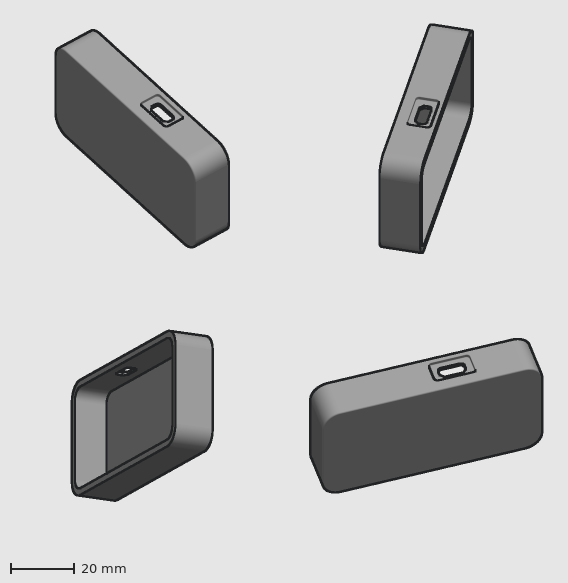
import cadquery as cq

length = 73.0
depth = 13.4
height = 38.0
corner_radius = 6.0
front_edge_radius = 0.5

wall = 2.25

port_x = 8.9
port_from_back = 5.55
recess_length = 13.65
recess_width = 7.5
recess_depth = 1.25
recess_corner_radius = 1.1
recess_edge_round = 0.2
rim_margin = 0.1
slot_length = 8.75
slot_width = 3.95
slot_back_radius = 1.25
slot_front_chamfer = 1.25

front_y = -depth / 2
back_y = depth / 2
top_z = height / 2
port_y = back_y - port_from_back


def make_block(x_size, z_size, radius, start_y):
    """Block with rounded corners running from start_y to the back face."""
    block_depth = back_y - start_y
    return (
        cq.Workplane("XY")
        .box(x_size, block_depth, z_size)
        .translate((0, start_y + block_depth / 2, 0))
        .edges("|Y")
        .fillet(radius)
    )


def make_shell():
    """Rounded tray with a closed front and an open back."""
    body = make_block(length, height, corner_radius, front_y)
    body = body.faces("<Y").edges().fillet(front_edge_radius)
    cavity = make_block(
        length - 2 * wall, height - 2 * wall, corner_radius - wall, front_y + wall
    )
    return body.cut(cavity)


def port_block(x_size, y_size, z_depth):
    """Block reaching down from the top face at the port position."""
    return (
        cq.Workplane("XY")
        .box(x_size, y_size, z_depth)
        .translate((port_x, port_y, top_z - z_depth / 2))
    )


def cut_recess(body):
    """Cut the shallow pocket, then round its floor edge and its rim."""
    recess = port_block(recess_length, recess_width, recess_depth)
    recess = recess.edges("|Z").fillet(recess_corner_radius)
    recess = recess.faces("<Z").edges().fillet(recess_edge_round)
    body = body.cut(recess)
    half_x = recess_length / 2 + rim_margin
    half_y = recess_width / 2 + rim_margin
    rim = cq.selectors.BoxSelector(
        (port_x - half_x, port_y - half_y, top_z - rim_margin),
        (port_x + half_x, port_y + half_y, top_z + rim_margin),
    )
    return body.edges(rim).fillet(recess_edge_round)


def make_slot():
    """Through slot with rounded back corners and chamfered front corners."""
    slot = port_block(slot_length, slot_width, wall)
    slot = slot.edges("|Z and >Y").fillet(slot_back_radius)
    return slot.edges("|Z and <Y").chamfer(slot_front_chamfer)


result = cut_recess(make_shell()).cut(make_slot())